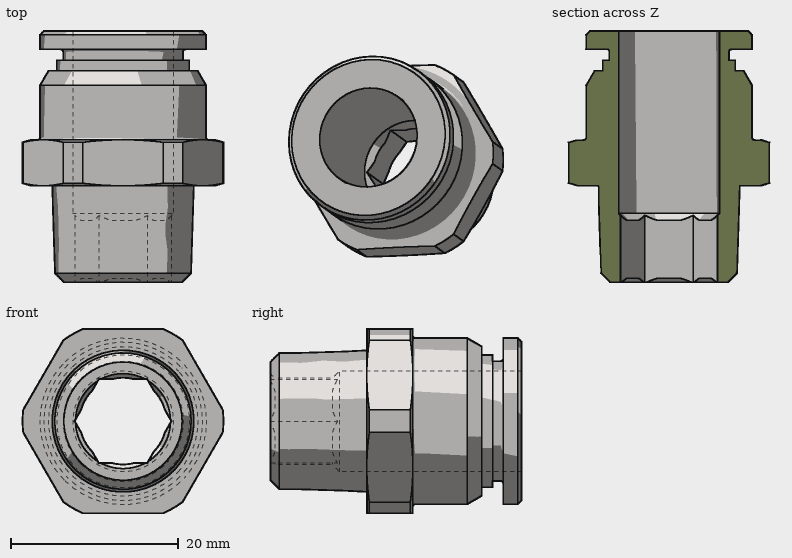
import cadquery as cq
import math

total_length = 30.0

nut_start = 11.52
nut_end = 17.0
nut_across_flats = 22.0
nut_corner_radius = 12.0
nut_chamfer_depth = 0.3
nut_chamfer_radius = nut_across_flats / 2

thread_root_radius = 8.45
thread_taper = 1 / 32
thread_end_chamfer = 1.08
thread_tip_radius = thread_root_radius - thread_taper * (nut_start - thread_end_chamfer)

body_radius = 9.93
body_cone_start = 23.5
body_end = 25.25
body_cone_angle = 30.0
body_end_radius = body_radius - (body_end - body_cone_start) * math.tan(math.radians(body_cone_angle))

sleeve_radius = 7.92
sleeve_end = 26.52
neck_radius = 7.17
flange_start = 27.78
flange_radius = body_radius
flange_chamfer = 0.48

root_fillet = 0.27

socket_across_flats = 10.0
bore_radius = 5.15
mouth_radius = 5.67
round_bore_depth = 7.38
tube_bore_radius = 6.0
mouth_cone_depth = mouth_radius - bore_radius
tube_bore_start = round_bore_depth + tube_bore_radius - bore_radius


def hexagon_bar(across_flats, start, end):
    """Hexagonal prism along +Y with two corners on the X axis."""
    across_corners = across_flats / math.cos(math.radians(30))
    return (
        cq.Workplane("XZ", origin=(0, start, 0))
        .polygon(6, across_corners)
        .extrude(start - end)
    )


def revolve_about_y(points):
    """Solid of revolution from (radius, y) points."""
    return cq.Workplane("XY").polyline(points).close().revolve(360, (0, 0, 0), (0, 1, 0))


def make_turned_body():
    """Thread, body and release collar as one turned solid."""
    return (
        cq.Workplane("XY")
        .lineTo(thread_tip_radius - thread_end_chamfer, 0)
        .lineTo(thread_tip_radius, thread_end_chamfer)
        .lineTo(thread_root_radius, nut_start)
        .lineTo(body_radius + root_fillet, nut_start)
        .lineTo(body_radius + root_fillet, nut_end)
        .radiusArc((body_radius, nut_end + root_fillet), root_fillet)
        .lineTo(body_radius, body_cone_start)
        .lineTo(body_end_radius, body_end)
        .lineTo(sleeve_radius, body_end)
        .lineTo(sleeve_radius, sleeve_end)
        .lineTo(neck_radius, sleeve_end)
        .lineTo(neck_radius, flange_start - root_fillet)
        .radiusArc((neck_radius + root_fillet, flange_start), root_fillet)
        .lineTo(flange_radius, flange_start)
        .lineTo(flange_radius, total_length - flange_chamfer)
        .lineTo(flange_radius - flange_chamfer, total_length)
        .lineTo(0, total_length)
        .close()
        .revolve(360, (0, 0, 0), (0, 1, 0))
    )


def make_nut():
    """Hexagon with rounded corners and a shallow chamfer on both faces."""
    corner_envelope = revolve_about_y([
        (0, nut_start),
        (nut_chamfer_radius, nut_start),
        (nut_corner_radius, nut_start + nut_chamfer_depth),
        (nut_corner_radius, nut_end - nut_chamfer_depth),
        (nut_chamfer_radius, nut_end),
        (0, nut_end),
    ])
    return hexagon_bar(nut_across_flats, nut_start, nut_end).intersect(corner_envelope)


def make_bore():
    """Hexagonal key socket and round bore, with 45-degree cones at the mouth and the tube bore."""
    socket = hexagon_bar(socket_across_flats, 0, tube_bore_start)
    round_bore = revolve_about_y([
        (0, 0),
        (mouth_radius, 0),
        (bore_radius, mouth_cone_depth),
        (bore_radius, round_bore_depth),
        (tube_bore_radius, tube_bore_start),
        (tube_bore_radius, total_length),
        (0, total_length),
    ])
    return socket.union(round_bore)


result = make_turned_body().union(make_nut()).cut(make_bore())